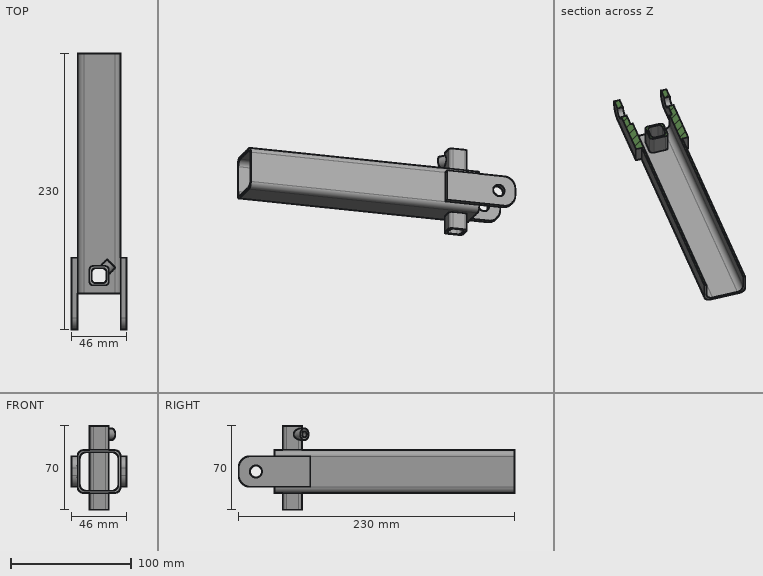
import cadquery as cq
import math

overall_length = 230.0
overall_width = 46.0
post_height = 70.0

tube_length = 200.0
tube_size = 35.9
tube_corner_radius = 5.0
wall = 2.0

plate_overlap = 30.0
plate_reach = overall_length - tube_length
plate_thickness = (overall_width - tube_size) / 2
plate_height = tube_size - 2 * tube_corner_radius
plate_corner_radius = 10.0
pin_hole_diameter = 10.0
pin_hole_from_tip = 14.5

post_size = 16.0
post_corner_radius = 3.0
post_rise = 20.0
post_y = 15.0
post_top = tube_size / 2 + post_rise

boss_diameter = 10.0
boss_reach = 14.3
boss_below_top = 7.0
boss_hole_diameter = 5.0
boss_angle = 45.0


def rounded_bar(plane, size, length, radius):
    """Square bar with rounded long edges, extruded along the plane normal."""
    bar = cq.Workplane(plane).rect(size, size).extrude(length)
    long_edges = "|Z" if plane == "XY" else "|Y"
    return bar.edges(long_edges).fillet(radius)


tube_outer = rounded_bar("XZ", tube_size, -tube_length, tube_corner_radius)
tube_bore = rounded_bar("XZ", tube_size - 2 * wall, -tube_length, tube_corner_radius)


def side_plate(side):
    """Lug plate on the +X (side = 1) or -X (side = -1) face of the tube."""
    plate_x = side * (tube_size + plate_thickness) / 2
    plate_y = (plate_overlap - plate_reach) / 2
    plate = (
        cq.Workplane("XY")
        .box(plate_thickness, plate_overlap + plate_reach, plate_height)
        .translate((plate_x, plate_y, 0))
        .edges("|X and <Y")
        .fillet(plate_corner_radius)
    )
    pin_hole = (
        cq.Workplane("YZ")
        .center(pin_hole_from_tip - plate_reach, 0)
        .circle(pin_hole_diameter / 2)
        .extrude(overall_width / 2, both=True)
    )
    return plate.cut(pin_hole)


def post_bar(size, radius):
    """Full-height vertical bar on the post axis."""
    return rounded_bar("XY", size, post_height, radius).translate((0, post_y, post_top - post_height))


def boss_cylinder(diameter):
    """Horizontal cylinder from the post axis to the end of the boss."""
    direction = (math.cos(math.radians(boss_angle)), math.sin(math.radians(boss_angle)), 0)
    start = (0, post_y, post_top - boss_below_top)
    return cq.Workplane(cq.Plane(origin=start, normal=direction)).circle(diameter / 2).extrude(boss_reach)


post_bore = post_bar(post_size - 2 * wall, post_corner_radius)

result = (
    tube_outer.cut(tube_bore)
    .union(side_plate(-1))
    .union(side_plate(1))
    .union(post_bar(post_size, post_corner_radius))
    .union(boss_cylinder(boss_diameter))
    .cut(post_bore)
    .cut(boss_cylinder(boss_hole_diameter))
)